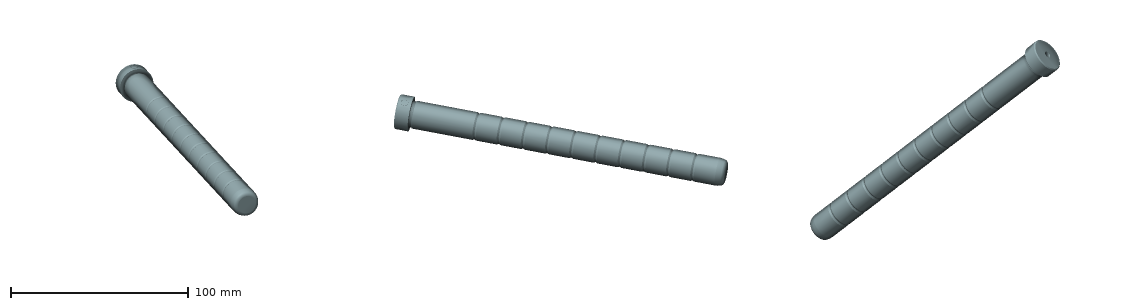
import cadquery as cq
import math

total_length = 190.0
head_diameter = 20.0
head_length = 8.0
head_chamfer = 0.5
shaft_diameter = 16.0

undercut_diameter = 15.0
undercut_width = 1.5
undercut_taper = 0.4

groove_count = 10
first_groove_x = 46.0
last_groove_x = 172.0
groove_width = 2.0
groove_depth = 0.5
groove_pitch = (last_groove_x - first_groove_x) / (groove_count - 1)

lead_length = 5.0
nose_length = 1.5
nose_diameter = 14.6
tip_diameter = 10.6

countersink_diameter = 4.0
countersink_angle = 60
pilot_diameter = 2.0
pilot_depth = 3.8
drill_point_angle = 118

ring_x = 4.2
ring_outer_diameter = 4.8
ring_inner_diameter = 3.6
ring_depth = 0.2

head_radius = head_diameter / 2
shaft_radius = shaft_diameter / 2


def cone_length(base_diameter, end_diameter, included_angle):
    """Axial length of a cone between two diameters."""
    return (base_diameter - end_diameter) / 2 / math.tan(math.radians(included_angle / 2))


def revolve_about_x(profile):
    return profile.close().revolve(360, (0, 0, 0), (1, 0, 0))


def pin_body():
    undercut_radius = undercut_diameter / 2
    undercut_end_x = head_length + undercut_width
    nose_start = (total_length - nose_length, nose_diameter / 2)
    tip_edge = (total_length, tip_diameter / 2)
    return revolve_about_x(
        cq.Workplane("XY")
        .lineTo(0, head_radius - head_chamfer)
        .lineTo(head_chamfer, head_radius)
        .lineTo(head_length, head_radius)
        .lineTo(head_length, undercut_radius)
        .lineTo(undercut_end_x, undercut_radius)
        .lineTo(undercut_end_x + undercut_taper, shaft_radius)
        .lineTo(total_length - lead_length, shaft_radius)
        .tangentArcPoint(nose_start, relative=False)
        .tangentArcPoint(tip_edge, relative=False)
        .lineTo(total_length, 0)
    )


def ring_groove(center_x):
    return revolve_about_x(
        cq.Workplane("XY")
        .moveTo(center_x - groove_width / 2, shaft_radius)
        .lineTo(center_x, shaft_radius - groove_depth)
        .lineTo(center_x + groove_width / 2, shaft_radius)
    )


def centre_hole():
    countersink_depth = cone_length(countersink_diameter, pilot_diameter, countersink_angle)
    drill_point_length = cone_length(pilot_diameter, 0, drill_point_angle)
    return revolve_about_x(
        cq.Workplane("XY")
        .lineTo(0, countersink_diameter / 2)
        .lineTo(countersink_depth, pilot_diameter / 2)
        .lineTo(pilot_depth, pilot_diameter / 2)
        .lineTo(pilot_depth + drill_point_length, 0)
    )


def engraved_ring():
    """Upright tube trimmed below, so its floor follows the round head at a constant depth."""
    tube = (
        cq.Workplane("XY")
        .center(ring_x, 0)
        .circle(ring_outer_diameter / 2)
        .circle(ring_inner_diameter / 2)
        .extrude(head_radius)
    )
    core = cq.Workplane("YZ").circle(head_radius - ring_depth).extrude(head_length)
    return tube.cut(core)


result = pin_body().cut(centre_hole()).cut(engraved_ring())
for index in range(groove_count):
    result = result.cut(ring_groove(first_groove_x + index * groove_pitch))